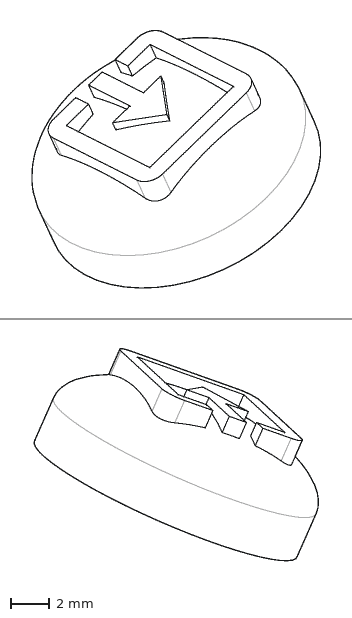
import cadquery as cq

TILT_ANGLE = 25.0
BODY_RADIUS = 7.5
SKIRT_HEIGHT = 2.5
DOME_HEIGHT = 3.07

ICON_TOP = 6.0
ICON_CENTER_X = 0.15
ICON_CENTER_Y = -0.03
FRAME_SIZE = 8.5
FRAME_WALL = 1.0
FRAME_CORNER_RADIUS = 1.0
FRAME_GAP = 3.05
SHAFT_WIDTH = 1.05
SHAFT_LENGTH = 3.22
HEAD_LENGTH = 2.35
HEAD_WIDTH = 3.75

FRAME_LEFT_X = ICON_CENTER_X - FRAME_SIZE / 2
FRAME_INNER_SIZE = FRAME_SIZE - 2 * FRAME_WALL
ICON_ROOT = SKIRT_HEIGHT
ICON_DEPTH = ICON_TOP - ICON_ROOT


def make_body():
    """Cylindrical skirt capped by a half-ellipse dome, revolved about Z."""
    skirt = cq.Workplane("XY").circle(BODY_RADIUS).extrude(SKIRT_HEIGHT)
    dome = (
        cq.Workplane("XZ", origin=(0, 0, SKIRT_HEIGHT))
        .moveTo(0, 0)
        .lineTo(BODY_RADIUS, 0)
        .ellipseArc(BODY_RADIUS, DOME_HEIGHT, 0, 90, startAtCurrent=True)
        .close()
        .revolve(360, (0, 0, 0), (0, 1, 0))
    )
    return skirt.union(dome)


def make_frame():
    """Square ring with rounded outer corners and a gap in its -X wall."""
    plane = cq.Workplane("XY", origin=(ICON_CENTER_X, ICON_CENTER_Y, ICON_ROOT))
    outer = plane.rect(FRAME_SIZE, FRAME_SIZE).extrude(ICON_DEPTH)
    outer = outer.edges("|Z").fillet(FRAME_CORNER_RADIUS)
    window = plane.rect(FRAME_INNER_SIZE, FRAME_INNER_SIZE).extrude(ICON_DEPTH)
    gap = plane.center(-FRAME_SIZE / 2, 0).rect(2 * FRAME_WALL, FRAME_GAP).extrude(ICON_DEPTH)
    return outer.cut(window).cut(gap)


def make_arrow():
    """Arrow pointing to +X, its tail flush with the outside of the frame."""
    neck_x = SHAFT_LENGTH
    return (
        cq.Workplane("XY", origin=(FRAME_LEFT_X, ICON_CENTER_Y, ICON_ROOT))
        .moveTo(0, -SHAFT_WIDTH / 2)
        .lineTo(neck_x, -SHAFT_WIDTH / 2)
        .lineTo(neck_x, -HEAD_WIDTH / 2)
        .lineTo(neck_x + HEAD_LENGTH, 0)
        .lineTo(neck_x, HEAD_WIDTH / 2)
        .lineTo(neck_x, SHAFT_WIDTH / 2)
        .lineTo(0, SHAFT_WIDTH / 2)
        .close()
        .extrude(ICON_DEPTH)
    )


button = make_body().union(make_frame()).union(make_arrow())
result = button.rotate((0, 0, 0), (1, 0, 0), TILT_ANGLE)